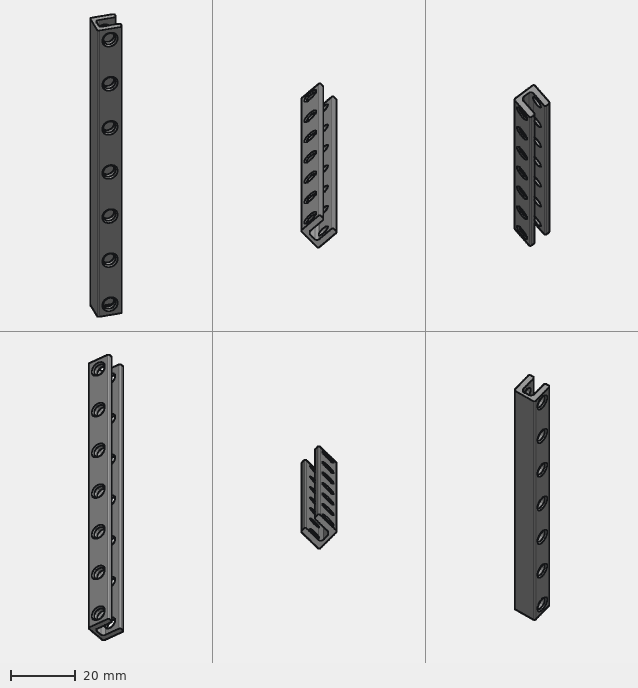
import cadquery as cq

length = 104.0
width = 8.0
depth = 8.0
slot_width = 4.0
floor_thickness = 1.2
slot_corner_radius = 1.0
edge_radius = 0.5

hole_count = 7
hole_pitch = 16.0
hole_diameter = 4.0
countersink_diameter = 5.0
countersink_depth = (countersink_diameter - hole_diameter) / 2


def make_channel():
    """U-shaped bar, open towards +Y, with rounded long edges."""
    bar = cq.Workplane("XY").box(width, depth, length)
    slot_depth = depth - floor_thickness
    slot = (
        cq.Workplane("XY")
        .box(slot_width, slot_depth, length)
        .edges("|Z and <Y")
        .fillet(slot_corner_radius)
        .translate((0, floor_thickness / 2, 0))
    )
    channel = bar.cut(slot)
    channel = channel.edges("|Z and >Y").fillet(edge_radius)
    return channel.edges("|Z and <Y").fillet(edge_radius)


def make_countersink(side, z):
    """Cone narrowing inwards from the outer face at side * X."""
    cone = cq.Solid.makeCone(
        countersink_diameter / 2,
        hole_diameter / 2,
        countersink_depth,
        pnt=cq.Vector(side * width / 2, 0, z),
        dir=cq.Vector(-side, 0, 0),
    )
    return cq.Workplane(cone)


def make_cross_hole(z):
    """Hole through both walls with its two countersinks."""
    hole = (
        cq.Workplane("YZ")
        .center(0, z)
        .circle(hole_diameter / 2)
        .extrude(width / 2, both=True)
    )
    return hole.union(make_countersink(-1, z)).union(make_countersink(1, z))


result = make_channel()
first_hole_z = -hole_pitch * (hole_count - 1) / 2
for index in range(hole_count):
    result = result.cut(make_cross_hole(first_hole_z + index * hole_pitch))